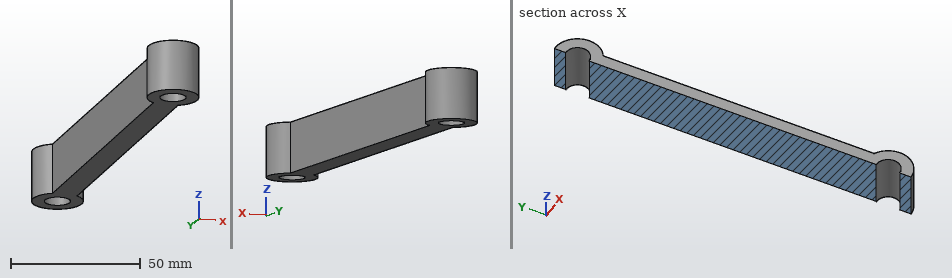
import cadquery as cq

overall_length = 155.0
eye_diameter = 20.0
hole_diameter = 10.0
bar_width = 10.0
height = 20.0

hole_spacing = overall_length - eye_diameter
eye_centers = [(0, -hole_spacing / 2), (0, hole_spacing / 2)]


def upright_cylinders(diameter):
    """Full-height cylinders on both eye centers."""
    return cq.Workplane("XY").pushPoints(eye_centers).circle(diameter / 2).extrude(height)


bar = cq.Workplane("XY").rect(bar_width, hole_spacing).extrude(height)

result = bar.union(upright_cylinders(eye_diameter)).cut(upright_cylinders(hole_diameter))